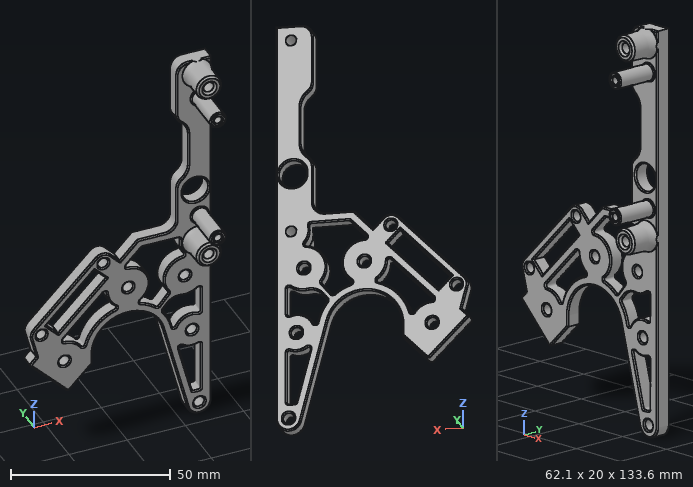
import cadquery as cq
import math


height = 133.6
plan_width = 62.1
plate_thickness = 5.5
edge_chamfer = 0.47

motor_x = -28.6
motor_z = 32.2
motor = (motor_x, motor_z)
motor_radius = 12.3
bolt_circle_radius = 21.9
web = 3.1
ring_radius = motor_radius + web

foot = (-4.1, 4.1)
foot_radius = 4.1
left_bolt = (motor_x - bolt_circle_radius, motor_z)
top_bolt = (motor_x, motor_z + bolt_circle_radius)
right_bolt = (motor_x + bolt_circle_radius, motor_z)
extra_bolt = (-9.1, 53.3)
bolt_hole_diameter = 3.6

arm_upper_hole = (-37.1, 65.5)
arm_lower_hole = (-58.4, 44.2)
arm_hole_diameter = 3.5
arm_end_radius = 3.6
arm_fillet = 1.0

bolt_pad_radius = 7.3
left_pad_radius = 7.1
right_pad_radius = 6.1
boss_pad_radius = 6.0
pocket_fillet = 0.7
strut_fillet = 5.1
rail_x = -3.6
lower_pocket_bottom_z = 8.8
slot_center = (-46.4, 53.5)
slot_length = 23.2
slot_width = 5.7

strip_width = 12
waist_width = 8
corner_radius = 4
waist_radius = 6.0
strip_bottom_z = 71.1
waist_top_z = 106.5
waist_bottom_z = 94.9
big_hole = (-5.5, 84.7)
big_hole_diameter = 9.0

boss_x = -5.0
boss_heights = (128.8, 65.7)
boss_length = 15.1
boss_base_radius = 5.1
boss_neck_radius = 4.4
boss_flare_radius = 4.7
boss_flare_depth = 6.7
boss_neck_depth = 8.5
boss_tip_radius = 4.3
boss_tip_chamfer = 0.7
boss_bore_radius = 1.7
boss_bore_chamfer = 0.8
pin_x = -4.1
pin_heights = (119.5, 75.0)
pin_length = 20
pin_radius = 2.74
pin_foot = 0.4
pin_tip_chamfer = 0.4
pin_bore_radius = 1.27
pin_bore_bottom = 6.7


def polar(center, radius, degrees):
    angle = math.radians(degrees)
    return (center[0] + radius * math.cos(angle), center[1] + radius * math.sin(angle))


leg_dx = foot[0] - motor_x
leg_dz = foot[1] - motor_z
leg_angle = math.degrees(
    math.atan2(leg_dz, leg_dx) - math.asin((motor_radius + foot_radius) / math.hypot(leg_dx, leg_dz))
)
leg_normal = leg_angle + 90

shoulder_step = strip_width - waist_width
shoulder_angle = math.degrees(math.acos(1 - shoulder_step / (corner_radius + waist_radius)))
waist_x = -waist_width - waist_radius
shoulder_top = polar((waist_x, waist_top_z), waist_radius, shoulder_angle)
shoulder_bottom = polar((waist_x, waist_bottom_z), waist_radius, -shoulder_angle)
shoulder_rise = (corner_radius + waist_radius) * math.sin(math.radians(shoulder_angle))

tip_overhang = arm_fillet * (math.sqrt(2) - 1)
strut_corner = (-25.3, strip_bottom_z)
arm_notch = (-31.4, 64.8)
side_notch = (-60.0, 36.2)
arm_tip = (-plan_width - tip_overhang, 33.7)
arm_bottom = (-49.2, 20.3)
arm_inner = (motor_x - motor_radius, 28.6)


def make_outline():
    return (
        cq.Workplane("XZ")
        .moveTo(0, height)
        .lineTo(-strip_width + corner_radius, height)
        .radiusArc((-strip_width, height - corner_radius), -corner_radius)
        .lineTo(-strip_width, waist_top_z + shoulder_rise)
        .radiusArc(shoulder_top, -corner_radius)
        .radiusArc((-waist_width, waist_top_z), waist_radius)
        .lineTo(-waist_width, waist_bottom_z)
        .radiusArc(shoulder_bottom, waist_radius)
        .radiusArc((-strip_width, waist_bottom_z - shoulder_rise), -corner_radius)
        .lineTo(-strip_width, strip_bottom_z + corner_radius)
        .radiusArc((-strip_width - corner_radius, strip_bottom_z), corner_radius)
        .lineTo(*strut_corner)
        .lineTo(*arm_notch)
        .lineTo(*polar(arm_upper_hole, arm_end_radius, 45))
        .threePointArc(polar(arm_upper_hole, arm_end_radius, 90), polar(arm_upper_hole, arm_end_radius, 135))
        .lineTo(*polar(arm_lower_hole, arm_end_radius, 135))
        .threePointArc(polar(arm_lower_hole, arm_end_radius, 165), polar(arm_lower_hole, arm_end_radius, 195))
        .lineTo(*side_notch)
        .lineTo(*arm_tip)
        .lineTo(*arm_bottom)
        .lineTo(*arm_inner)
        .lineTo(motor_x - motor_radius, motor_z)
        .threePointArc(polar(motor, motor_radius, 90), polar(motor, motor_radius, leg_normal))
        .lineTo(*polar(foot, foot_radius, leg_normal + 180))
        .threePointArc(polar(foot, foot_radius, -90), polar(foot, foot_radius, 0))
        .close()
        .extrude(plate_thickness)
    )


def disc(center, radius):
    return cq.Workplane("XZ").center(*center).circle(radius).extrude(plate_thickness)


def polygon(points):
    return cq.Workplane("XZ").polyline(points).close().extrude(plate_thickness)


strut_bottom_z = strip_bottom_z - web
leg_top = polar(motor, ring_radius, leg_normal)
leg_foot = polar(foot, foot_radius - web, leg_normal + 180)


def leg_inner(z):
    """Point on the inner face of the leg at height z."""
    share = (leg_top[1] - z) / (leg_top[1] - leg_foot[1])
    return (leg_top[0] + share * (leg_foot[0] - leg_top[0]), z)


def make_pocket(corners, pads):
    """Polygon less the round pads that stand in it, each given as (center, radius)."""
    pocket = polygon(corners)
    for center, radius in pads:
        pocket = pocket.cut(disc(center, radius))
    return pocket


def round_corners(pocket):
    return pocket.edges("|Y").fillet(pocket_fillet)


ring = (motor, ring_radius)
top_pad = (top_bolt, bolt_pad_radius)
extra_pad = (extra_bolt, bolt_pad_radius)
left_pad = (left_bolt, left_pad_radius)
right_pad = (right_bolt, right_pad_radius)
boss_center = (boss_x, boss_heights[1])
boss_pad = (boss_center, boss_pad_radius)


def make_slot():
    return (
        cq.Workplane("XZ")
        .center(*slot_center)
        .transformed(rotate=(0, 0, 45))
        .rect(slot_length, slot_width)
        .extrude(plate_thickness)
    )


def make_arm_pocket():
    corners = [(-51.0, 40.3), (-35.3, 56.1), top_bolt, motor, left_bolt]
    return round_corners(make_pocket(corners, (ring, top_pad, left_pad)))


def make_upper_pocket():
    corners = [
        (-29.4, 62.4),
        (-23.8, strut_bottom_z),
        (boss_x, strut_bottom_z),
        boss_center,
        extra_bolt,
        (-14.0, 48.9),
        (-19.8, 42.1),
        motor,
        top_bolt,
    ]
    return round_corners(make_pocket(corners, (ring, top_pad, extra_pad, boss_pad)))


def make_middle_pocket():
    strut_end = (-11.8, 48.1)
    corners = [
        (-17.1, 41.8),
        strut_end,
        extra_bolt,
        (rail_x, extra_bolt[1]),
        (rail_x, motor_z),
        leg_inner(motor_z),
        leg_top,
        motor,
    ]
    pocket = make_pocket(corners, (ring, extra_pad, right_pad))
    at_strut = cq.selectors.NearestToPointSelector((strut_end[0], -plate_thickness / 2, strut_end[1]))
    at_leg_top = cq.selectors.NearestToPointSelector((leg_top[0], -plate_thickness / 2, leg_top[1]))
    small_corners = cq.selectors.ParallelDirSelector(cq.Vector(0, 1, 0)) - at_strut - at_leg_top
    return pocket.edges(small_corners).fillet(pocket_fillet).edges(at_strut).fillet(strut_fillet)


def make_lower_pocket():
    corners = [
        (rail_x, motor_z),
        leg_inner(motor_z),
        leg_inner(lower_pocket_bottom_z),
        (rail_x, lower_pocket_bottom_z),
    ]
    return round_corners(make_pocket(corners, (right_pad,)))


def make_plate():
    plate = make_outline()
    for x, z in (strut_corner, arm_tip, arm_bottom):
        corner = cq.selectors.NearestToPointSelector((x, -plate_thickness / 2, z))
        plate = plate.edges(corner).fillet(arm_fillet)
    for make in (make_slot, make_arm_pocket, make_upper_pocket, make_middle_pocket, make_lower_pocket):
        plate = plate.cut(make())
    for center in (left_bolt, top_bolt, right_bolt, extra_bolt, foot):
        plate = plate.cut(disc(center, bolt_hole_diameter / 2))
    for center in (arm_upper_hole, arm_lower_hole):
        plate = plate.cut(disc(center, arm_hole_diameter / 2))
    plate = plate.cut(disc(big_hole, big_hole_diameter / 2))
    return plate.faces("|Y").edges().chamfer(edge_chamfer)


def turned(profile, x, z):
    """Solid of revolution about a Y axis, from (radius, depth) points."""
    return (
        cq.Workplane("XY")
        .polyline([(radius, -depth) for radius, depth in profile])
        .close()
        .revolve(360, (0, 0, 0), (0, 1, 0))
        .translate((x, 0, z))
    )


def make_boss(z):
    """Flared boss, trimmed flush with the long edge and the top of the plate."""
    tip_edge_radius = boss_tip_radius - boss_tip_chamfer
    boss = (
        cq.Workplane("XY")
        .moveTo(0, -edge_chamfer)
        .lineTo(boss_base_radius, -edge_chamfer)
        .lineTo(boss_base_radius, -plate_thickness)
        .threePointArc((boss_flare_radius, -boss_flare_depth), (boss_neck_radius, -boss_neck_depth))
        .lineTo(boss_tip_radius, boss_tip_chamfer - boss_length)
        .lineTo(tip_edge_radius, -boss_length)
        .lineTo(0, -boss_length)
        .close()
        .revolve(360, (0, 0, 0), (0, 1, 0))
        .translate((boss_x, 0, z))
    )
    envelope = cq.Workplane("XY").box(plan_width, boss_length, height, centered=False)
    return boss.intersect(envelope.translate((-plan_width, -boss_length, 0)))


def make_boss_bore(z):
    return turned(
        [
            (0, 0),
            (boss_bore_radius, 0),
            (boss_bore_radius, boss_length - boss_bore_chamfer),
            (boss_bore_radius + boss_bore_chamfer, boss_length),
            (0, boss_length),
        ],
        boss_x,
        z,
    )


def make_pin(z):
    """Round pin with a chamfered foot, a chamfered tip and a blind bore."""
    return turned(
        [
            (0, edge_chamfer),
            (pin_radius + pin_foot, edge_chamfer),
            (pin_radius + pin_foot, plate_thickness),
            (pin_radius, plate_thickness + pin_foot),
            (pin_radius, pin_length - pin_tip_chamfer),
            (pin_radius - pin_tip_chamfer, pin_length),
            (pin_bore_radius + pin_tip_chamfer, pin_length),
            (pin_bore_radius, pin_length - pin_tip_chamfer),
            (pin_bore_radius, pin_bore_bottom),
            (0, pin_bore_bottom),
        ],
        pin_x,
        z,
    )


result = make_plate()
for boss_z in boss_heights:
    result = result.union(make_boss(boss_z)).cut(make_boss_bore(boss_z))
for pin_z in pin_heights:
    result = result.union(make_pin(pin_z))